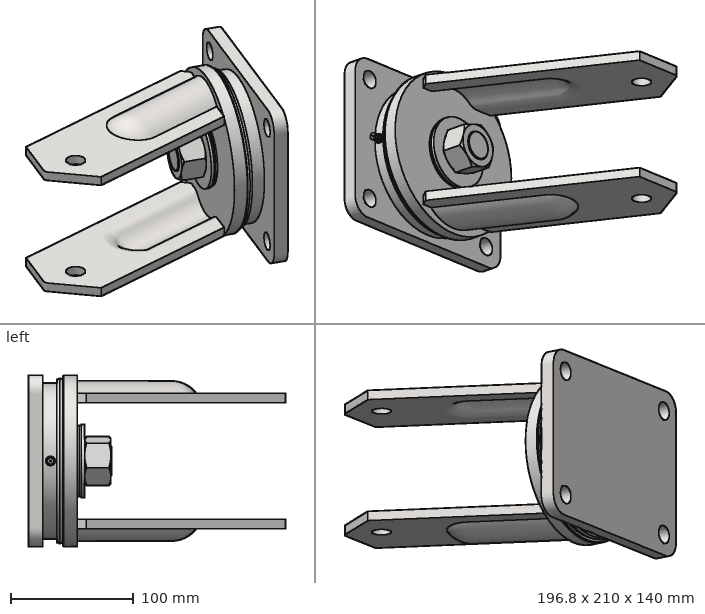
import cadquery as cq
import math


PLATE_WIDTH = 175.0
PLATE_HEIGHT = 140.0
PLATE_THICKNESS = 12.0
PLATE_CORNER_RADIUS = 15.0
BOLT_SPACING_X = 140.0
BOLT_SPACING_Z = 105.0
BOLT_HOLE_DIAMETER = 15.0

COLLAR_RADIUS = 63.8
COLLAR_END = 23.3
UPPER_SEAL_END = 28.1
DISC_END = 40.0
LOWER_SEAL_END = 43.2
WASHER_END = 46.0
NUT_END = 67.4
PIN_END = 68.2

UPPER_SEAL_CREST_RADIUS = 67.5
LOWER_SEAL_CREST_RADIUS = 29.2
UPPER_SEAL_CREST_RISE = 1.0
LOWER_SEAL_CREST_RISE = 0.5

DISC_RADIUS = PLATE_HEIGHT / 2
DISC_CHAMFER = 0.8
WASHER_RADIUS = 30.0
PIN_RADIUS = 12.0
PIN_CHAMFER = 0.6
NUT_ACROSS_FLATS = 36.0
NUT_TURN = 15.0
NUT_CHAMFER_ANGLE = 30.0

NIPPLE_DEPTH = (PLATE_THICKNESS + COLLAR_END) / 2 + 0.5
NIPPLE_ROOT = 59.8
NIPPLE_FLANGE_START = 65.0
NIPPLE_FLANGE_END = 66.5
NIPPLE_GROOVE_START = 68.7
NIPPLE_GROOVE_END = 70.3
NIPPLE_BORE_FLOOR = 71.8
NIPPLE_TIP = 72.8
NIPPLE_STEM_RADIUS = 3.0
NIPPLE_FLANGE_RADIUS = 3.8
NIPPLE_GROOVE_RADIUS = 2.5
NIPPLE_BORE_RADIUS = 0.6

LEG_ANGLE = math.radians(26.5)
LEG_WIDTH = 80.0
LEG_THICKNESS = 8.0
LEG_INNER_Z = 47.5
LEG_OUTER_Z = LEG_INNER_Z + LEG_THICKNESS
LEG_END = 210.0
LEG_SIDE_CORNER_DEPTH = 169.5
LEG_END_CORNER_X = 85.5
LEG_END_CORNER_RADIUS = 5.0
LEG_TOP_CORNER_X = -36.0
LEG_TOP_CORNER_DEPTH = 47.2
AXLE_X = 75.4
AXLE_DEPTH = 179.5
AXLE_HOLE_DIAMETER = 16.0

BULGE_HALF_WIDTH = 24.0
BULGE_RISE = 10.0
BULGE_LENGTH = 85.0
BULGE_END_RADIUS = 25.0
POCKET_LIP_RADIUS = 12.5
TOUCHING_DISTANCE = 0.02
BULGE_ARC_RADIUS = (BULGE_HALF_WIDTH**2 + BULGE_RISE**2) / (2 * BULGE_RISE)
BULGE_TOP_Z = LEG_OUTER_Z + BULGE_RISE
BULGE_ARC_Z = BULGE_TOP_Z - BULGE_ARC_RADIUS
BULGE_PIVOT_Z = BULGE_TOP_Z - BULGE_END_RADIUS


def disc(radius, start, end):
    """Solid cylinder on the swivel axis between two depths."""
    return cq.Workplane("XZ", origin=(0, -start, 0)).circle(radius).extrude(end - start)


def bored(body, start, end):
    """The body with the king pin's hole through it."""
    return body.cut(disc(PIN_RADIUS, start, end))


def mounting_plate():
    """Rounded plate with four bolt holes, its collar and the king pin."""
    plate = (
        cq.Workplane("XZ")
        .rect(PLATE_WIDTH, PLATE_HEIGHT)
        .extrude(PLATE_THICKNESS)
        .edges("|Y")
        .fillet(PLATE_CORNER_RADIUS)
    )
    holes = (
        cq.Workplane("XZ")
        .rect(BOLT_SPACING_X, BOLT_SPACING_Z, forConstruction=True)
        .vertices()
        .circle(BOLT_HOLE_DIAMETER / 2)
        .extrude(PLATE_THICKNESS)
    )
    collar = disc(COLLAR_RADIUS, PLATE_THICKNESS, COLLAR_END)
    pin = disc(PIN_RADIUS, COLLAR_END, PIN_END).faces("<Y").chamfer(PIN_CHAMFER)
    return plate.cut(holes).union(collar).union(pin).cut(nipple())


def nipple():
    """Turned grease nipple, screwed into the -X side of the collar."""
    profile = [
        (NIPPLE_ROOT, 0),
        (NIPPLE_ROOT, NIPPLE_STEM_RADIUS),
        (NIPPLE_FLANGE_START, NIPPLE_STEM_RADIUS),
        (NIPPLE_FLANGE_START, NIPPLE_FLANGE_RADIUS),
        (NIPPLE_FLANGE_END, NIPPLE_FLANGE_RADIUS),
        (NIPPLE_FLANGE_END, NIPPLE_STEM_RADIUS),
        (NIPPLE_GROOVE_START, NIPPLE_STEM_RADIUS),
        (NIPPLE_GROOVE_START, NIPPLE_GROOVE_RADIUS),
        (NIPPLE_GROOVE_END, NIPPLE_GROOVE_RADIUS),
        (NIPPLE_GROOVE_END, NIPPLE_STEM_RADIUS),
        (NIPPLE_TIP, NIPPLE_STEM_RADIUS),
        (NIPPLE_TIP, NIPPLE_BORE_RADIUS),
        (NIPPLE_BORE_FLOOR, NIPPLE_BORE_RADIUS),
        (NIPPLE_BORE_FLOOR, 0),
    ]
    side = cq.Plane(origin=(0, -NIPPLE_DEPTH, 0), xDir=(-1, 0, 0), normal=(0, 1, 0))
    return cq.Workplane(side).polyline(profile).close().revolve(360, (0, 0), (1, 0))


def seal(crest_radius, crest_rise, start, end):
    """Ring around the king pin whose rim rises to a crest at mid thickness."""
    rim_radius = crest_radius - crest_rise
    profile = [
        (PIN_RADIUS, -start),
        (rim_radius, -start),
        (crest_radius, -(start + end) / 2),
        (rim_radius, -end),
        (PIN_RADIUS, -end),
    ]
    return cq.Workplane("XY").polyline(profile).close().revolve(360, (0, 0), (0, 1))


def nut():
    """Hexagon nut with both ends chamfered down to the flats."""
    height = NUT_END - WASHER_END
    corner_radius = NUT_ACROSS_FLATS / 2 / math.cos(math.radians(30))
    chamfer_width = corner_radius - NUT_ACROSS_FLATS / 2
    chamfer_height = chamfer_width * math.tan(math.radians(NUT_CHAMFER_ANGLE))
    hexagon = (
        cq.Workplane("XZ", origin=(0, -WASHER_END, 0))
        .polygon(6, 2 * corner_radius)
        .extrude(height)
        .rotate((0, 0, 0), (0, 1, 0), -NUT_TURN)
    )
    envelope = (
        disc(corner_radius, WASHER_END, NUT_END)
        .edges("%CIRCLE")
        .chamfer(chamfer_height, chamfer_width)
    )
    return bored(hexagon.intersect(envelope), WASHER_END, NUT_END)


def leg_edge_x(side, depth):
    """X of the leg's long edge (side -1 or +1) at a depth below the plate's outer face."""
    return side * LEG_WIDTH / 2 / math.cos(LEG_ANGLE) + (depth - DISC_END) * math.tan(LEG_ANGLE)


def leg_blank():
    """Flat leg with its slanted end, not yet pressed."""
    outline = [
        (LEG_TOP_CORNER_X, -DISC_END),
        (leg_edge_x(-1, LEG_TOP_CORNER_DEPTH), -LEG_TOP_CORNER_DEPTH),
        (leg_edge_x(-1, LEG_END), -LEG_END),
        (LEG_END_CORNER_X, -LEG_END),
        (leg_edge_x(1, LEG_SIDE_CORNER_DEPTH), -LEG_SIDE_CORNER_DEPTH),
        (leg_edge_x(1, DISC_END), -DISC_END),
    ]
    end_corner = cq.selectors.NearestToPointSelector(
        (LEG_END_CORNER_X, -LEG_END, LEG_INNER_Z + LEG_THICKNESS / 2)
    )
    return (
        cq.Workplane("XY", origin=(0, 0, LEG_INNER_Z))
        .polyline(outline)
        .close()
        .extrude(LEG_THICKNESS)
        .edges(end_corner)
        .fillet(LEG_END_CORNER_RADIUS)
    )


def bulge(arc_radius, base_z):
    """Rounded ridge along the leg, from inside the disc to its turned-down end.

    Its cross-section is an arc above base_z, concentric for every arc_radius."""
    across = (math.cos(LEG_ANGLE), math.sin(LEG_ANGLE), 0)
    along = (math.sin(LEG_ANGLE), -math.cos(LEG_ANGLE), 0)
    end_centre = (BULGE_LENGTH * along[0], -DISC_END + BULGE_LENGTH * along[1], BULGE_PIVOT_Z)
    end_plane = cq.Plane(origin=end_centre, xDir=across, normal=along)

    half_width = math.sqrt(arc_radius**2 - (base_z - BULGE_ARC_Z) ** 2)
    base = base_z - BULGE_PIVOT_Z
    top = BULGE_ARC_Z + arc_radius - BULGE_PIVOT_Z
    section = (
        cq.Workplane(end_plane)
        .moveTo(-half_width, base)
        .threePointArc((0, top), (half_width, base))
        .close()
    )
    ridge = section.extrude(-BULGE_LENGTH - DISC_END)
    turned_section = (
        cq.Workplane(end_plane)
        .moveTo(-half_width, 0)
        .lineTo(-half_width, base)
        .threePointArc((0, top), (half_width, base))
        .lineTo(half_width, 0)
        .close()
    )
    end = turned_section.revolve(180, (0, 0), (1, 0))
    above_base = cq.Workplane("XY", origin=(0, 0, base_z)).rect(3 * LEG_END, 3 * LEG_END).extrude(LEG_END)
    below_disc = cq.Workplane("XZ", origin=(0, -DISC_END, 0)).rect(3 * LEG_END, 3 * LEG_END).extrude(LEG_END)
    return ridge.union(end.intersect(above_base)).intersect(below_disc)


def on_body(body, point):
    """Whether the point lies in the body or on its surface."""
    return body.val().distance(cq.Vertex.makeVertex(*point.toTuple())) < TOUCHING_DISTANCE


def leg():
    """Upper leg: blank with the pressed bulge, its pocket and the axle hole."""
    pocket = bulge(BULGE_ARC_RADIUS - LEG_THICKNESS, LEG_INNER_Z)
    pressed = leg_blank().union(bulge(BULGE_ARC_RADIUS, LEG_OUTER_Z)).cut(pocket)
    pressed = (
        pressed.faces("<Z")
        .edges()
        .filter(lambda edge: on_body(pocket, edge.positionAt(0.5)))
        .fillet(POCKET_LIP_RADIUS)
    )
    axle_hole = (
        cq.Workplane("XY", origin=(AXLE_X, -AXLE_DEPTH, LEG_INNER_Z))
        .circle(AXLE_HOLE_DIAMETER / 2)
        .extrude(LEG_THICKNESS)
    )
    return pressed.cut(axle_hole)


def fork():
    """Swivel disc with the two legs welded to it."""
    swivel_disc = disc(DISC_RADIUS, UPPER_SEAL_END, DISC_END).faces(">Y").chamfer(DISC_CHAMFER)
    swivel_disc = bored(swivel_disc, UPPER_SEAL_END, DISC_END)
    upper_leg = leg()
    return swivel_disc.union(upper_leg).union(upper_leg.mirror("XY"))


washer = bored(disc(WASHER_RADIUS, LOWER_SEAL_END, WASHER_END), LOWER_SEAL_END, WASHER_END)
upper_seal = seal(UPPER_SEAL_CREST_RADIUS, UPPER_SEAL_CREST_RISE, COLLAR_END, UPPER_SEAL_END)
lower_seal = seal(LOWER_SEAL_CREST_RADIUS, LOWER_SEAL_CREST_RISE, DISC_END, LOWER_SEAL_END)

result = cq.Compound.makeCompound(
    [
        mounting_plate().val(),
        nipple().val(),
        upper_seal.val(),
        fork().val(),
        lower_seal.val(),
        washer.val(),
        nut().val(),
    ]
)